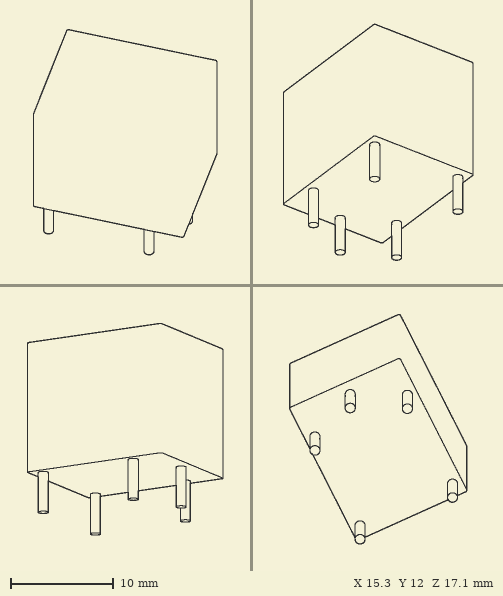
import cadquery as cq

case_length = 15.3
case_width = 12.0
overall_height = 17.1
edge_radius = 0.2

pin_diameter = 1.0
pin_length = 4.0
end_pin_x = 6.35
contact_pin_x = 3.86
pin_row_y = 5.01

case_height = overall_height - pin_length
case = cq.Workplane("XY").box(case_length, case_width, case_height, centered=(True, True, False))
case = case.edges("|Z or >Z").fillet(edge_radius)

pin_places = [(end_pin_x, 0)]
for pair_x in (-end_pin_x, contact_pin_x):
    for pair_y in (-pin_row_y, pin_row_y):
        pin_places.append((pair_x, pair_y))
pins = cq.Workplane("XY").pushPoints(pin_places).circle(pin_diameter / 2).extrude(-pin_length)

result = case.union(pins)